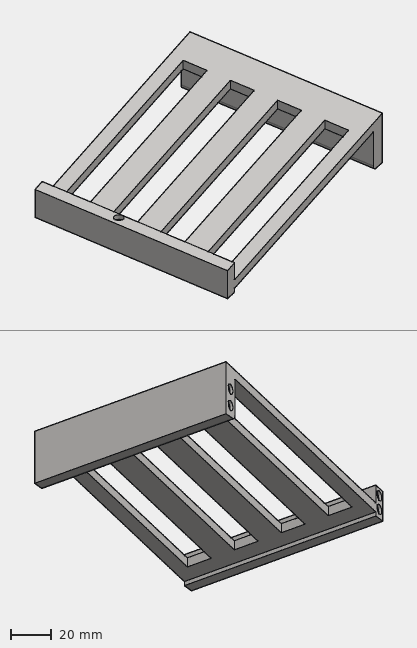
import cadquery as cq

length = 172.3
height = 38.5
total_width = 159.8
width = 120.0
skew = total_width - width

plate_top = 28.6
plate_thickness = 5.0
leg_thickness = 10.0
leg_bottom_rise = 1.2
leg_edge_radius = 3.0
bar_thickness = 8.0
bar_back_height = 17.0
bar_front_height = 16.2

slot_count = 4
slot_width = 14.8
slot_side_margin = 8.5
slot_front = 19.3
slot_back = 149.8
slot_pitch = (width - 2 * slot_side_margin - slot_width) / (slot_count - 1)

hole_diameter = 5.2
side_hole_depth = 1.5
top_hole_depth = 2.5
leg_hole_drops = (12.8, 21.7)
bar_hole_drops = (4.1, 11.5)
top_hole_x = 87.9
top_hole_y = 5.2


def left_edge_x(y):
    """X of the skewed left side at a given Y."""
    return skew * (1 - y / length)


def skewed_block(x_offset, block_width, y_front, y_back):
    """Full-height parallelogram block that follows the skew."""
    front_x = left_edge_x(y_front) + x_offset
    back_x = left_edge_x(y_back) + x_offset
    return (
        cq.Workplane("XY")
        .moveTo(front_x, y_front)
        .lineTo(front_x + block_width, y_front)
        .lineTo(back_x + block_width, y_back)
        .lineTo(back_x, y_back)
        .close()
        .extrude(height)
    )


def side_profile():
    """Plate with a hanging leg at the back and an upright bar at the front."""
    plate_bottom = plate_top - plate_thickness
    leg_front = length - leg_thickness
    profile = (
        cq.Workplane("YZ")
        .moveTo(0, height)
        .lineTo(bar_thickness, height)
        .lineTo(bar_thickness, plate_top)
        .lineTo(length, plate_top)
        .lineTo(length, 0)
        .lineTo(leg_front, leg_bottom_rise)
        .lineTo(leg_front, plate_bottom)
        .lineTo(bar_thickness, plate_bottom)
        .lineTo(bar_thickness, height - bar_back_height)
        .lineTo(0, height - bar_front_height)
        .close()
        .extrude(total_width)
    )
    leg_edge = cq.selectors.NearestToPointSelector((total_width / 2, leg_front, leg_bottom_rise))
    return profile.edges(leg_edge).fillet(leg_edge_radius)


def side_hole(y, z):
    """Blind hole drilled square to the skewed left side."""
    outward = cq.Vector(-length, -skew, 0)
    side_face = cq.Plane(origin=(left_edge_x(y), y, z), xDir=(0, 0, 1), normal=outward)
    return cq.Workplane(side_face).circle(hole_diameter / 2).extrude(-side_hole_depth)


result = side_profile().intersect(skewed_block(0, width, 0, length))

for index in range(slot_count):
    slot_offset = slot_side_margin + index * slot_pitch
    result = result.cut(skewed_block(slot_offset, slot_width, slot_front, slot_back))

for drop in leg_hole_drops:
    result = result.cut(side_hole(length - leg_thickness / 2, plate_top - drop))

for drop in bar_hole_drops:
    result = result.cut(side_hole(bar_thickness / 2, height - drop))

top_hole = (
    cq.Workplane("XY", origin=(top_hole_x, top_hole_y, height - top_hole_depth))
    .circle(hole_diameter / 2)
    .extrude(top_hole_depth)
)
result = result.cut(top_hole)